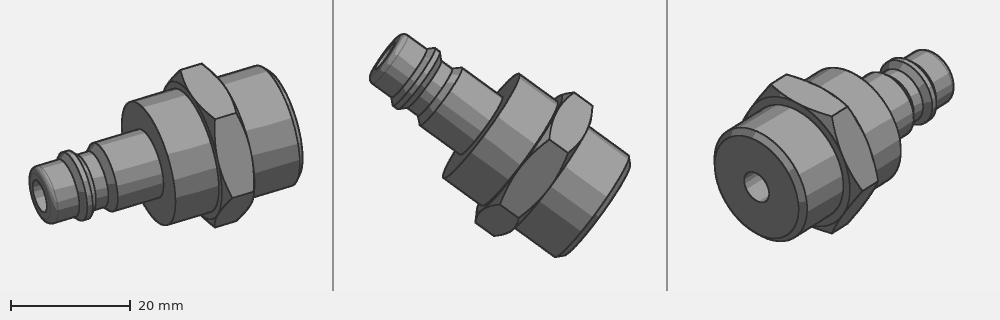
import cadquery as cq
import math

length = 44.0
nose_end = 4.95
ridge_front = 6.0
ridge_back = 7.0
groove_front = 8.1
groove_back = 10.4
stem_front = 11.6
collar_front = 20.0
hex_front = 28.0
hex_back = 34.0

bore_radius = 2.8
nose_radius = 5.0
groove_radius = 4.9
stem_radius = 6.0
collar_radius = 10.8
rear_radius = 10.5

nose_round = 1.0
rear_chamfer = 1.0
hex_flats = 24.0
hex_chamfer_angle = 30.0


def revolve_about_y(points):
    """Turn a closed (radius, Y) outline around the Y axis."""
    return cq.Workplane("XY").polyline(points).close().revolve(360, (0, 0, 0), (0, 1, 0))


def turned_body():
    """Plug nose, locking ridge, stem, collar and rear spigot."""
    body = revolve_about_y([
        (0, 0),
        (nose_radius, 0),
        (nose_radius, nose_end),
        (stem_radius, ridge_front),
        (stem_radius, ridge_back),
        (groove_radius, groove_front),
        (groove_radius, groove_back),
        (stem_radius, stem_front),
        (stem_radius, collar_front),
        (collar_radius, collar_front),
        (collar_radius, hex_front),
        (rear_radius, hex_front),
        (rear_radius, length - rear_chamfer),
        (rear_radius - rear_chamfer, length),
        (0, length),
    ])
    return body.faces("<Y").edges().fillet(nose_round)


def hexagon():
    """Wrench hexagon with corners on X and both ends chamfered by a cone."""
    flat_radius = hex_flats / 2
    corner_radius = flat_radius / math.cos(math.radians(30))
    chamfer_depth = (corner_radius - flat_radius) * math.tan(math.radians(hex_chamfer_angle))
    prism = (
        cq.Workplane("XZ", origin=(0, hex_back, 0))
        .polygon(6, 2 * corner_radius)
        .extrude(hex_back - hex_front)
    )
    envelope = revolve_about_y([
        (0, hex_front),
        (flat_radius, hex_front),
        (corner_radius, hex_front + chamfer_depth),
        (corner_radius, hex_back - chamfer_depth),
        (flat_radius, hex_back),
        (0, hex_back),
    ])
    return prism.intersect(envelope)


bore = cq.Workplane("XZ").circle(bore_radius).extrude(-length)

result = turned_body().union(hexagon()).cut(bore)